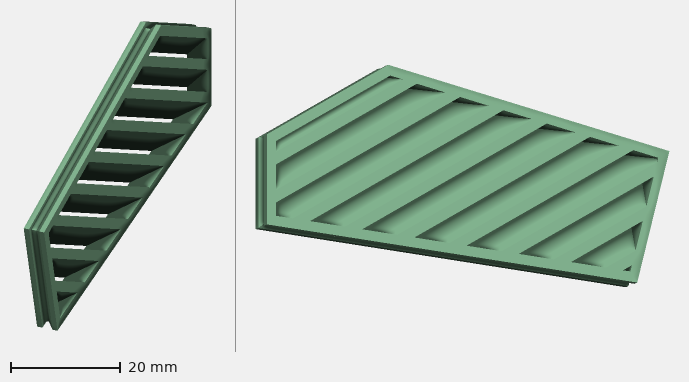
import cadquery as cq
import math

thickness = 4.0
length = 86.5
height = 33.7

bottom_length = 79.5
nose_height = 25.8
peak_setback = 26.0
upright_height = 17.0

rim_width = 1.9

groove_depth = 1.0
groove_start = 1.0
groove_floor_end = 2.0
groove_end = groove_floor_end + groove_depth

slat_count = 9
slat_width = 2.0
slat_pitch = 6.05
first_slat_offset = 3.6
slat_reach = 2 * length
slat_angle = math.degrees(math.atan2(height - upright_height, peak_setback))

outline_points = [
    (length, 0),
    (length - bottom_length, 0),
    (0, nose_height),
    (length - peak_setback, height),
    (length, upright_height),
]


def panel(x_start, x_end, inset=0.0):
    """Extrude the outline, drawn in by inset, from x_start to x_end."""
    outline = cq.Workplane("YZ", origin=(x_start, 0, 0)).polyline(outline_points).close()
    if inset:
        outline = outline.offset2D(-inset, "intersection")
    return outline.extrude(x_end - x_start)


def groove_slope():
    """Solid that widens at 45 degrees from the groove floor to the full outline."""
    floor_wire = panel(groove_floor_end, groove_end, groove_depth).faces("<X").wires().val()
    rim_wire = panel(groove_end, thickness).faces("<X").wires().val()
    return cq.Workplane(cq.Solid.makeLoft([floor_wire, rim_wire], True))


def rim():
    body = panel(0, groove_start)
    body = body.union(panel(groove_start, groove_floor_end, groove_depth))
    body = body.union(groove_slope())
    body = body.union(panel(groove_end, thickness))
    return body.cut(panel(0, thickness, rim_width))


def slat(index):
    """One leaning slat, with its section in X and distance from the sloping edge."""
    top = -(first_slat_offset + index * slat_pitch)
    section = [
        (0, top),
        (thickness, top + thickness),
        (thickness, top + thickness - slat_width),
        (0, top - slat_width),
    ]
    bar = cq.Workplane("XZ").polyline(section).close().extrude(slat_reach / 2, both=True)
    bar = bar.rotate((0, 0, 0), (1, 0, 0), -slat_angle)
    return bar.translate((0, length, upright_height))


result = rim()
slat_limit = panel(0, thickness, rim_width)
for slat_index in range(slat_count):
    result = result.union(slat(slat_index).intersect(slat_limit))